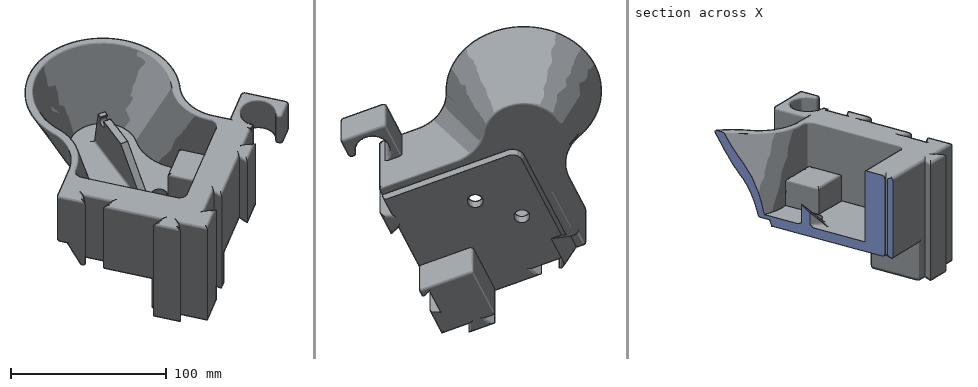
import cadquery as cq
import math

side = 101.4
base_bottom = 57.0
foot_size = 38.1
foot_bottom = 83.8
edge_round = 2.5
rim_round = 1.5

margin = 0.02

dovetail_depth = 6.4
dovetail_wide = 18.2
dovetail_neck = 12.2
tongue_offset = side / 4
groove_offset = 3 * side / 4

bowl_radius = 50.9
bowl_bottom_radius = 25.8
bowl_bottom = 53.0
blend_radius = 30.0
wall = 5.0

cavity_depth = 50.0
cavity_radius = 45.0
cavity_bottom_radius = 22.0
cavity_margin = 22.0
blend_reach = math.sqrt((cavity_radius + wall + blend_radius) ** 2 - blend_radius ** 2)
cavity_corner_radius = side - blend_reach - cavity_margin

ledge_inset = 5.5
ledge_draft = 1.7
ledge_land = 0.2
ledge_corner_radius = 8.4

notch_top = 42.0
notch_x_top = 6.2
notch_x_bottom = 14.4
notch_y_top = 11.0
notch_y_bottom = 23.8
notch_round = 3.7

riser_width = 26.3
riser_length = 25.6
riser_top = 31.3
riser_round = 2.0

hole_diameter = 10.0
hole_centers = [(-53.9, 70.1), (-76.6, 47.3)]

fin_thickness = 5.0
fin_top = 20.9
fin_far_bottom = 150.0
fin_far_top = 145.0
fin_slope_start = 114.1
fin_near_bottom = 82.8
fin_fillet = 2.3
keyhole_position = 139.7
keyhole_diameter = 6.0
keyhole_mouth = 4.3

hook_left = -16.0
hook_right = 15.9
hook_back = 128.1
hook_height = 25.3
hook_center_y = 111.7
hook_radius = 11.2
hook_mouth_y = 112.5
hook_bore_round = 1.5
hook_tip_round = 2.0


def box(x0, x1, y0, y1, z0, z1):
    return cq.Workplane("XY").box(x1 - x0, y1 - y0, z1 - z0, centered=False).translate((x0, y0, z0))


def edges_inside(body, low_corner, high_corner):
    """Edges whose centres lie inside a box."""
    return body.edges(cq.selectors.BoxSelector(low_corner, high_corner)).vals()


def dovetail_points(offset, direction):
    """Four corners of a dovetail as (distance along the face, distance out of it)."""
    out = direction * dovetail_depth
    neck = dovetail_neck / 2
    wide = dovetail_wide / 2
    return [(offset - neck, 0), (offset - wide, out), (offset + wide, out), (offset + neck, 0)]


def block_outline(size, offsets_front, offsets_right):
    """Square outline with dovetails given as (offset, direction) along each face."""
    points = [(0, 0)]
    for offset, direction in offsets_right:
        points += [(out, along) for along, out in dovetail_points(offset, direction)]
    points += [(0, size), (-size, size), (-size, 0)]
    for offset, direction in reversed(offsets_front):
        points += [(-along, -out) for along, out in reversed(dovetail_points(offset, direction))]
    return points


def dovetail_prism(size, depth, offsets_front, offsets_right):
    outline = block_outline(size, offsets_front, offsets_right)
    return cq.Workplane("XY").polyline(outline).close().extrude(-depth)


def dovetail_edges(prism, face):
    """Edges of one end face of the block along its two dovetailed sides."""
    limit = side - margin
    edges = prism.faces(face).edges().vals()
    return [e for e in edges if e.Center().x > -limit and e.Center().y < limit]


def make_notch():
    """Cutter whose two sloping sides meet under the plain corner of the block."""
    reach = 2 * notch_y_bottom

    def trapezoid(plane, top, bottom):
        corners = [(-reach, -notch_top), (top, -notch_top), (bottom, -base_bottom), (-reach, -base_bottom)]
        return plane.polyline(corners).close().extrude(2 * reach)

    along_y = trapezoid(cq.Workplane("XZ", origin=(-side, reach, 0)), notch_x_top, notch_x_bottom)
    along_x = trapezoid(cq.Workplane("YZ", origin=(-side - reach, 0, 0)), notch_y_top, notch_y_bottom)
    return along_y.intersect(along_x)


def make_block():
    """Dovetailed prism with the notch under its plain corner and its dovetailed sides rounded."""
    block = dovetail_prism(side, base_bottom, [(tongue_offset, 1), (groove_offset, -1)],
                           [(tongue_offset, -1), (groove_offset, 1)])
    block = block.newObject(dovetail_edges(block, ">Z")).fillet(edge_round)

    groove_end = -groove_offset - dovetail_wide / 2
    lower = [e for e in dovetail_edges(block, "<Z") if e.Center().x > groove_end]
    block = block.newObject(lower).fillet(edge_round)

    block = block.cut(make_notch())
    low = -base_bottom + edge_round
    high = -notch_top + margin
    front_mouth = edges_inside(block, (-side, -margin, low), (-side + notch_x_bottom, margin, high))
    left_mouth = edges_inside(block, (-side - margin, 0, low), (-side + margin, notch_y_bottom, high))
    return block.newObject(front_mouth + left_mouth).fillet(notch_round)


def make_foot():
    """Deeper corner of the block, carrying the front tongue and the right groove to its full height."""
    foot = dovetail_prism(foot_size, foot_bottom, [(tongue_offset, 1)], [])
    foot = foot.intersect(box(-side, side, -side, side, -foot_bottom, -base_bottom + edge_round))
    foot = foot.edges("|Z and (<X or >Y)").edges("<X or >Y").fillet(edge_round)
    foot = foot.faces("<Z").edges().fillet(edge_round)
    groove = [(out, along) for along, out in dovetail_points(tongue_offset, -1)]
    return foot.cut(cq.Workplane("XY").polyline(groove).close().extrude(-foot_bottom))


def bowl_wire(radius, blend, wall_inset, z):
    """Keyhole outline: a large arc at the corner, blended by two arcs into the two wall lines."""
    center_x = wall_inset - blend
    center_y = -math.sqrt((radius + blend) ** 2 - center_x ** 2)
    share = radius / (radius + blend)
    tangent = (center_x * share, center_y * share)
    line_start = (wall_inset, center_y)
    middle_angle = math.atan2(tangent[1] - center_y, tangent[0] - center_x) / 2
    blend_middle = (center_x + blend * math.cos(middle_angle), center_y + blend * math.sin(middle_angle))
    far_point = (-radius * math.sqrt(0.5), radius * math.sqrt(0.5))

    def mirrored(point):
        return (-point[1], -point[0])

    return (
        cq.Workplane("XY", origin=(-side, side, z))
        .moveTo(*line_start)
        .threePointArc(blend_middle, tangent)
        .threePointArc(far_point, mirrored(tangent))
        .threePointArc(mirrored(blend_middle), mirrored(line_start))
        .lineTo(-line_start[1], line_start[1])
        .close()
        .val()
    )


def bowl_body(radius, bottom_radius, blend, wall_inset, depth):
    top = bowl_wire(radius, blend, wall_inset, 0)
    bottom = bowl_wire(bottom_radius, blend, wall_inset, -depth)
    return cq.Workplane(cq.Solid.makeLoft([top, bottom], True))


def make_ledge():
    """Strip removed below the bowl floor, outside the square base."""
    height = base_bottom - bowl_bottom
    size = 2 * side
    outer = box(-size, dovetail_depth, 0, size, -base_bottom, -bowl_bottom)
    keep = (
        box(ledge_inset - side, size, -size, side - ledge_inset, -base_bottom, -bowl_bottom)
        .edges("|Z and <X and >Y")
        .fillet(ledge_corner_radius)
        .faces("<Z")
        .edges("<X or >Y")
        .chamfer(height - ledge_land, ledge_draft)
    )
    return outer.cut(keep)


def make_cavity():
    main = (
        box(wall - side, -cavity_margin, cavity_margin, side - wall, -cavity_depth, 0)
        .edges("|Z")
        .fillet(cavity_corner_radius)
    )
    return main.union(bowl_body(cavity_radius, cavity_bottom_radius, blend_radius + wall, wall, cavity_depth))


def round_thin_walls(body):
    """Rounds the bowl and the two plain walls above and below, the cavity mouth and the plain corner."""
    limit = side - margin
    top = body.faces(">Z").val()
    below = edges_inside(body, (-2 * side, 0, -bowl_bottom - margin), (0, 2 * side, -bowl_bottom + margin))
    outer = top.outerWire().Edges() + below
    outer = [e for e in outer if e.Center().x < -limit or e.Center().y > limit]
    corner = edges_inside(body, (-side - margin, -margin, -notch_top), (-side + margin, margin, -edge_round))
    return body.newObject(outer + top.innerWires()[0].Edges() + corner).fillet(rim_round)


def make_riser():
    """Raised block, with a post behind it that fills the rounded cavity corner."""
    right = -cavity_margin
    back = side - wall
    riser = box(right - riser_width, right, back - riser_length, back, -cavity_depth, -riser_top)
    riser = riser.faces(">Z").edges().fillet(riser_round)
    post = box(right - cavity_corner_radius, right + wall, back - cavity_corner_radius, back + wall / 2,
               -cavity_depth, -riser_top - riser_round)
    return riser.union(post)


def make_fin():
    """Upright plate along the diagonal, with a sloping near end and a keyhole in its top."""
    root = math.sqrt(0.5)
    plane = cq.Plane(origin=(0, 0, 0), xDir=(-root, root, 0), normal=(root, root, 0))
    half = fin_thickness / 2
    profile = [(fin_far_bottom, -cavity_depth), (fin_far_top, -fin_top), (fin_slope_start, -fin_top),
               (fin_near_bottom, -cavity_depth)]
    fin = cq.Workplane(plane).polyline(profile).close().extrude(half, both=True)
    radius = keyhole_diameter / 2
    hole = cq.Workplane(plane).center(keyhole_position, -fin_top - radius).circle(radius).extrude(half, both=True)
    mouth = cq.Workplane(plane).center(keyhole_position, -fin_top - radius / 2)
    return fin.cut(hole).cut(mouth.rect(keyhole_mouth, radius).extrude(half, both=True))


def blend_fin(body):
    """Flares the foot of the fin into the cavity floor."""
    low_corner = (-side - bowl_radius, 0, -cavity_depth - margin)
    floor = edges_inside(body, low_corner, (0, 2 * side, -cavity_depth + margin))
    foot = [e for e in floor if e.geomType() == "LINE" and abs(e.Center().x + e.Center().y) < fin_thickness]
    return body.newObject(foot).fillet(fin_fillet)


def make_hook():
    """Clip with a round bore opening toward the right face of the block."""
    hook = box(hook_left, hook_right, side - 2 * edge_round, hook_back, -hook_height, 0)
    hook = hook.edges("|Z and >Y").edges().fillet(edge_round)
    hook = hook.faces(">Z or <Z").edges("not <Y").fillet(edge_round)
    hook = hook.cut(box(0, 2 * hook_right, 0, hook_mouth_y, -hook_height, 0))
    bore = cq.Workplane("XY").center(0, hook_center_y).circle(hook_radius).extrude(-hook_height)
    hook = hook.cut(bore)
    tip_x = math.sqrt(hook_radius ** 2 - (hook_mouth_y - hook_center_y) ** 2)
    tip_edges = []
    for x in (tip_x, hook_right):
        tip_edges += hook.edges(cq.selectors.NearestToPointSelector((x, hook_mouth_y, -hook_height / 2))).vals()
    hook = hook.newObject(tip_edges).fillet(hook_tip_round)
    bore_edges = [e for e in hook.edges("%CIRCLE").vals() if e.Length() > math.pi * hook_radius]
    return hook.newObject(bore_edges).fillet(hook_bore_round)


body = make_block().cut(make_ledge())
body = body.union(bowl_body(bowl_radius, bowl_bottom_radius, blend_radius, 0, bowl_bottom))
body = round_thin_walls(body.cut(make_cavity()))
body = body.union(make_foot()).union(make_hook()).union(make_riser())
body = blend_fin(body.union(make_fin()))
holes = cq.Workplane("XY").pushPoints(hole_centers).circle(hole_diameter / 2).extrude(-base_bottom)
result = body.cut(holes)